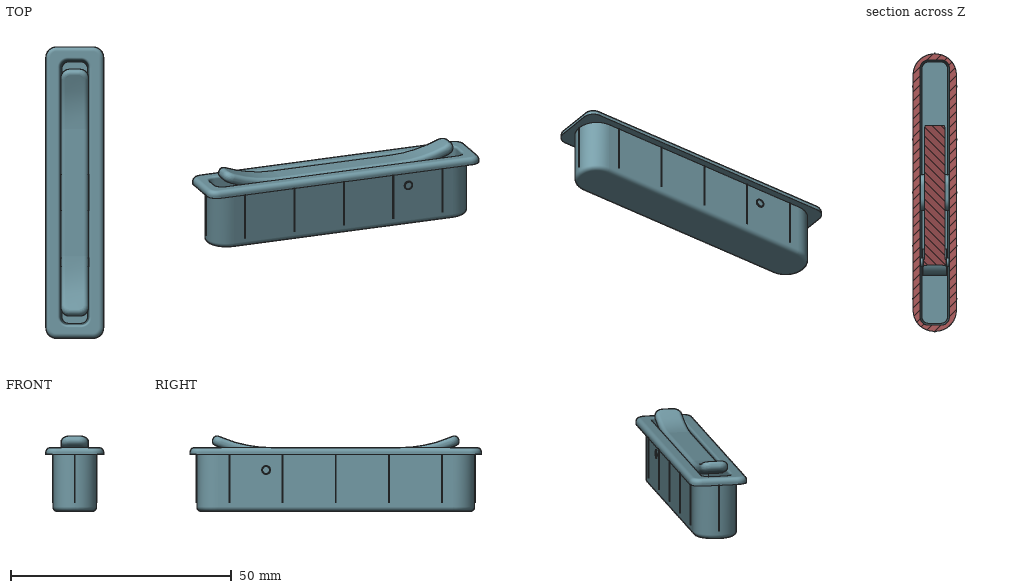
import cadquery as cq
import math

FLANGE_LENGTH = 66.0
FLANGE_WIDTH = 13.15
FLANGE_THICKNESS = 1.5
FLANGE_CORNER_RADIUS = 2.45
FLANGE_EDGE_RADIUS = 1.05

BODY_LENGTH = 62.9
BODY_WIDTH = 9.9
BODY_BOTTOM_Z = -14.45
BODY_CORNER_RADIUS = 4.8
BODY_EDGE_RADIUS = 1.0

RIB_WIDTH = 0.2
RIB_PROJECTION = 0.1
RIB_BOTTOM_Z = -12.5
RIB_PITCH = 12.0
RIBS_PER_SIDE = 5

POCKET_LENGTH = 60.1
POCKET_WIDTH = 6.7
POCKET_CORNER_RADIUS = 1.85
POCKET_MOUTH_RADIUS = 0.5
POCKET_WALL_INSET = 0.45
FLOOR_THICKNESS = 1.05
POCKET_FLOOR_Z = BODY_BOTTOM_Z + FLOOR_THICKNESS
POCKET_DRAFT = math.degrees(math.atan(POCKET_WALL_INSET / -POCKET_FLOOR_Z))

PIN_Y = -15.8
PIN_Z = -5.1
PIN_RADIUS = 1.0
PIN_END_CHAMFER = 0.2

HANDLE_WIDTH = 6.2
HANDLE_THICKNESS = 2.25
HANDLE_TOP_Z = 0
HANDLE_BOTTOM_Z = HANDLE_TOP_Z - HANDLE_THICKNESS
HANDLE_FLAT_HALF_LENGTH = 14.4
HANDLE_SWEEP_RADIUS = 29.7
HANDLE_SWEEP_ANGLE = 25.8
HANDLE_CORNER_RADIUS = 2.0
HANDLE_EDGE_RADIUS = 1.0
LUG_RADIUS = 3.0
LUG_WIDTH = 5.3

BLOCK_LENGTH = 8.2
BLOCK_EDGE_RADIUS = 2.5


def upright_slab(width, length, top_z, height, corner_radius):
    """Rectangular slab below top_z with rounded vertical corners."""
    slab = cq.Workplane("XY").workplane(offset=top_z - height).rect(width, length).extrude(height)
    return slab.edges("|Z").fillet(corner_radius)


def cross_cylinder(radius, length):
    """Cylinder on the pivot axis, centred on x = 0."""
    return cq.Workplane("YZ").center(PIN_Y, PIN_Z).circle(radius).extrude(length / 2, both=True)


def pocket_volume():
    """Space inside the drafted pocket walls, without the rounded mouth."""
    outline = cq.Sketch().rect(POCKET_WIDTH, POCKET_LENGTH).vertices().fillet(POCKET_CORNER_RADIUS)
    return cq.Workplane("XY").placeSketch(outline).extrude(POCKET_FLOOR_Z, taper=POCKET_DRAFT)


def make_ribs():
    """Bars through the body whose ends stand proud of it as ribs."""
    height = -FLANGE_THICKNESS - RIB_BOTTOM_Z
    base = cq.Workplane("XY").workplane(offset=RIB_BOTTOM_Z)
    rib_span_x = BODY_WIDTH + 2 * RIB_PROJECTION
    rib_span_y = BODY_LENGTH + 2 * RIB_PROJECTION
    side_ribs = base.rarray(0.65, RIB_PITCH, 1, RIBS_PER_SIDE).rect(rib_span_x, RIB_WIDTH).extrude(height)
    end_ribs = base.rect(RIB_WIDTH, rib_span_y).extrude(height)
    return side_ribs.union(end_ribs)


def make_housing():
    flange = upright_slab(FLANGE_WIDTH, FLANGE_LENGTH, 0, FLANGE_THICKNESS, FLANGE_CORNER_RADIUS)
    flange = flange.faces(">Z").edges().fillet(FLANGE_EDGE_RADIUS)
    body_height = -FLANGE_THICKNESS - BODY_BOTTOM_Z
    body = upright_slab(BODY_WIDTH, BODY_LENGTH, -FLANGE_THICKNESS, body_height, BODY_CORNER_RADIUS)
    body = body.faces("<Z").edges().fillet(BODY_EDGE_RADIUS)
    housing = flange.union(body).union(make_ribs()).cut(pocket_volume())
    mouth = housing.faces(">Z").val().innerWires()[0]
    housing = cq.Workplane(housing.val().fillet(POCKET_MOUTH_RADIUS, mouth.Edges()))
    return housing.cut(cross_cylinder(PIN_RADIUS, FLANGE_WIDTH))


def sweep_point(radius, angle_degrees):
    """Point on the +Y upswept end, at a radius about the sweep centre above the bar."""
    angle = math.radians(angle_degrees)
    y = HANDLE_FLAT_HALF_LENGTH + radius * math.sin(angle)
    z = HANDLE_TOP_Z + HANDLE_SWEEP_RADIUS - radius * math.cos(angle)
    return y, z


def mirrored(point):
    return -point[0], point[1]


def make_handle():
    outer_radius = HANDLE_SWEEP_RADIUS + HANDLE_THICKNESS
    top_start = (HANDLE_FLAT_HALF_LENGTH, HANDLE_TOP_Z)
    top_middle = sweep_point(HANDLE_SWEEP_RADIUS, HANDLE_SWEEP_ANGLE / 2)
    top_end = sweep_point(HANDLE_SWEEP_RADIUS, HANDLE_SWEEP_ANGLE)
    bottom_end = sweep_point(outer_radius, HANDLE_SWEEP_ANGLE)
    bottom_middle = sweep_point(outer_radius, HANDLE_SWEEP_ANGLE / 2)
    bottom_start = (HANDLE_FLAT_HALF_LENGTH, HANDLE_BOTTOM_Z)
    bar = (
        cq.Workplane("YZ")
        .moveTo(*mirrored(top_start))
        .lineTo(*top_start)
        .threePointArc(top_middle, top_end)
        .lineTo(*bottom_end)
        .threePointArc(bottom_middle, bottom_start)
        .lineTo(*mirrored(bottom_start))
        .threePointArc(mirrored(bottom_middle), mirrored(bottom_end))
        .lineTo(*mirrored(top_end))
        .threePointArc(mirrored(top_middle), mirrored(top_start))
        .close()
        .extrude(HANDLE_WIDTH / 2, both=True)
    )
    bar = bar.faces("<Y or >Y").edges("not |X").fillet(HANDLE_CORNER_RADIUS)
    bar = bar.edges("|Y").fillet(HANDLE_EDGE_RADIUS)
    lug = cross_cylinder(LUG_RADIUS, LUG_WIDTH)
    return bar.union(lug).cut(cross_cylinder(PIN_RADIUS, FLANGE_WIDTH))


def make_pin():
    pin = cross_cylinder(PIN_RADIUS, BODY_WIDTH)
    return pin.faces("<X or >X").edges().chamfer(PIN_END_CHAMFER)


def make_support_block():
    """Block that fills the pocket from wall to wall, with its two top edges rounded."""
    height = HANDLE_BOTTOM_Z - POCKET_FLOOR_Z
    base = cq.Workplane("XY").workplane(offset=POCKET_FLOOR_Z)
    block = base.rect(POCKET_WIDTH, BLOCK_LENGTH).extrude(height)
    block = block.faces(">Z").edges("|X").fillet(BLOCK_EDGE_RADIUS)
    return block.intersect(pocket_volume())


housing = make_housing()
handle = make_handle()
pin = make_pin()
support_block = make_support_block()

result = cq.Compound.makeCompound([housing.val(), handle.val(), pin.val(), support_block.val()])